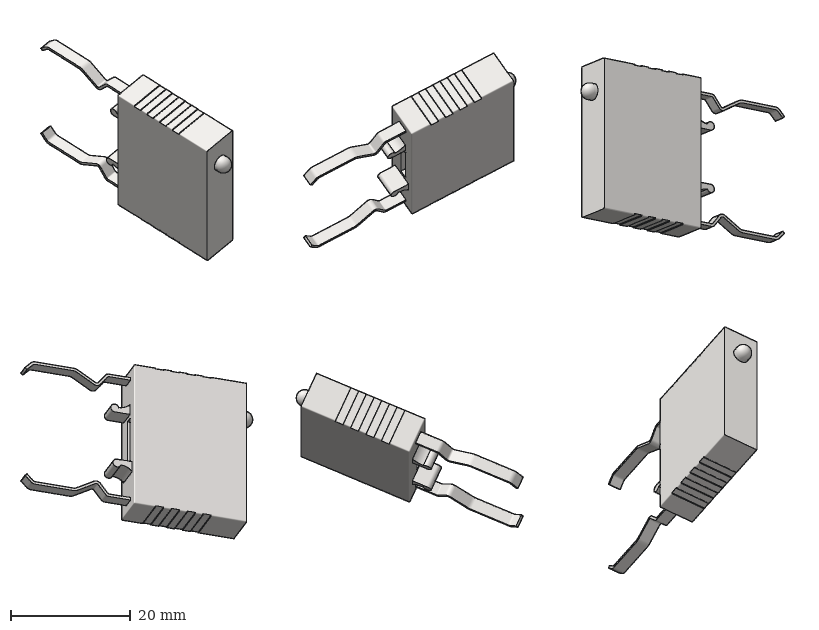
import cadquery as cq
import math


CASE_LENGTH = 19.85
CASE_DEPTH = 6.5
CASE_HEIGHT = 26.3
EDGE_RADIUS = 0.2

GROOVE_COUNT = 4
GROOVE_START = 3.75
GROOVE_WIDTH = 1.42
GROOVE_PITCH = 2.8
GROOVE_DEPTH = 0.2

LAMP_RADIUS = 1.42
LAMP_PROTRUSION = 2.15
LAMP_Z = 7.95

SLOT_HEIGHT = 7.98
SLOT_WIDTH = 1.4
SLOT_Y = -0.4
SLOT_DEPTH = 4.05

SPRING_REACH = 18.68
SPRING_THICKNESS = 0.5
SPRING_WIDTH = 2.15
SPRING_Y = -0.25
SPRING_Z = 11.3
TIP_ANGLE = 45.0
TIP_DROP = 1.3
TIP_RADIUS = 0.8
FLAT_LENGTH = 7.45
RAMP_ANGLE = 30.0
RAMP_RADIUS = 1.35
VALLEY_DROP = 2.25
VALLEY_RADIUS = 0.6
RISE_ANGLE = 51.0
RISE_RADIUS = 0.5

HOOK_REACH = 3.4
HOOK_INNER_Z = 4.7
HOOK_NOSE_RADIUS = 0.75
HOOK_NECK_THICKNESS = 0.98
HOOK_FLARE_RADIUS = 2.65
HOOK_ROOT_LENGTH = 0.2
HOOK_BACK_Y = 2.15
UPPER_HOOK_WIDTH = 3.25
LOWER_HOOK_WIDTH = 4.3


def make_case():
    case = (
        cq.Workplane("XY")
        .box(CASE_LENGTH, CASE_DEPTH, CASE_HEIGHT, centered=(False, True, True))
        .edges("<X or |X")
        .fillet(EDGE_RADIUS)
    )
    for index in range(GROOVE_COUNT):
        groove_x = GROOVE_START + index * GROOVE_PITCH
        for side in (-1, 1):
            groove = cq.Workplane("XY").box(
                GROOVE_WIDTH, CASE_DEPTH, 2 * GROOVE_DEPTH, centered=(False, True, True)
            )
            case = case.cut(groove.translate((groove_x, 0, side * CASE_HEIGHT / 2)))
    slot = cq.Workplane("XY").box(SLOT_DEPTH, SLOT_WIDTH, SLOT_HEIGHT, centered=(False, True, True))
    return case.cut(slot.translate((0, SLOT_Y, 0)))


def make_lamp():
    straight_length = LAMP_PROTRUSION - LAMP_RADIUS
    lamp = (
        cq.Workplane("XZ")
        .lineTo(0, LAMP_RADIUS)
        .lineTo(straight_length, LAMP_RADIUS)
        .radiusArc((LAMP_PROTRUSION, 0), LAMP_RADIUS)
        .close()
        .revolve(360, (0, 0, 0), (1, 0, 0))
    )
    return lamp.translate((CASE_LENGTH, 0, LAMP_Z))


def point_toward(start, target, distance):
    """Point at the given distance from start along the line to target."""
    share = distance / math.dist(start, target)
    return tuple(a + share * (b - a) for a, b in zip(start, target))


def rounded_path(points, radii):
    """Open XZ path through points, with each inner corner rounded by its own radius."""
    path = cq.Workplane("XZ").moveTo(*points[0])
    for before, corner, after, radius in zip(points, points[1:], points[2:], radii):
        heading_in = math.atan2(corner[1] - before[1], corner[0] - before[0])
        heading_out = math.atan2(after[1] - corner[1], after[0] - corner[0])
        setback = radius * math.tan(abs(heading_out - heading_in) / 2)
        path = path.lineTo(*point_toward(corner, before, setback))
        path = path.tangentArcPoint(point_toward(corner, after, setback), relative=False)
    return path.lineTo(*points[-1])


def make_upper_spring():
    tip_x = -SPRING_REACH + SPRING_THICKNESS / 2 * math.sin(math.radians(TIP_ANGLE))
    flat_start = tip_x + TIP_DROP / math.tan(math.radians(TIP_ANGLE))
    flat_end = flat_start + FLAT_LENGTH
    valley_x = flat_end + VALLEY_DROP / math.tan(math.radians(RAMP_ANGLE))
    rise_end = valley_x + VALLEY_DROP / math.tan(math.radians(RISE_ANGLE))
    centre_line = [
        (tip_x, SPRING_Z - TIP_DROP),
        (flat_start, SPRING_Z),
        (flat_end, SPRING_Z),
        (valley_x, SPRING_Z - VALLEY_DROP),
        (rise_end, SPRING_Z),
        (0, SPRING_Z),
    ]
    path = rounded_path(centre_line, [TIP_RADIUS, RAMP_RADIUS, VALLEY_RADIUS, RISE_RADIUS])
    tip_plane = cq.Plane(
        origin=(tip_x, 0, SPRING_Z - TIP_DROP),
        xDir=(0, 1, 0),
        normal=(math.cos(math.radians(TIP_ANGLE)), 0, math.sin(math.radians(TIP_ANGLE))),
    )
    spring = cq.Workplane(tip_plane).rect(SPRING_WIDTH, SPRING_THICKNESS).sweep(path)
    return spring.translate((0, SPRING_Y, 0))


def make_upper_hook(width):
    nose_x = -HOOK_REACH + HOOK_NOSE_RADIUS
    nose_z = HOOK_INNER_Z + HOOK_NOSE_RADIUS
    neck_z = HOOK_INNER_Z + HOOK_NECK_THICKNESS
    neck_x = nose_x + math.sqrt(HOOK_NOSE_RADIUS**2 - (neck_z - nose_z) ** 2)
    flare_angle = math.asin((-HOOK_ROOT_LENGTH - neck_x) / HOOK_FLARE_RADIUS)
    flare_end_z = neck_z + HOOK_FLARE_RADIUS * (1 - math.cos(flare_angle))
    root_z = flare_end_z + HOOK_ROOT_LENGTH * math.tan(flare_angle)
    flare_middle = (
        neck_x + HOOK_FLARE_RADIUS * math.sin(flare_angle / 2),
        neck_z + HOOK_FLARE_RADIUS * (1 - math.cos(flare_angle / 2)),
    )
    hook = (
        cq.Workplane("XZ")
        .moveTo(0, HOOK_INNER_Z)
        .lineTo(nose_x, HOOK_INNER_Z)
        .threePointArc((-HOOK_REACH, nose_z), (neck_x, neck_z))
        .threePointArc(flare_middle, (-HOOK_ROOT_LENGTH, flare_end_z))
        .lineTo(0, root_z)
        .close()
        .extrude(width)
    )
    return hook.translate((0, HOOK_BACK_Y, 0))


upper_spring = make_upper_spring()
upper_hook = make_upper_hook(UPPER_HOOK_WIDTH)
lower_hook = make_upper_hook(LOWER_HOOK_WIDTH).mirror("XY")

result = (
    make_case()
    .union(make_lamp())
    .union(upper_spring)
    .union(upper_spring.mirror("XY"))
    .union(upper_hook)
    .union(lower_hook)
)